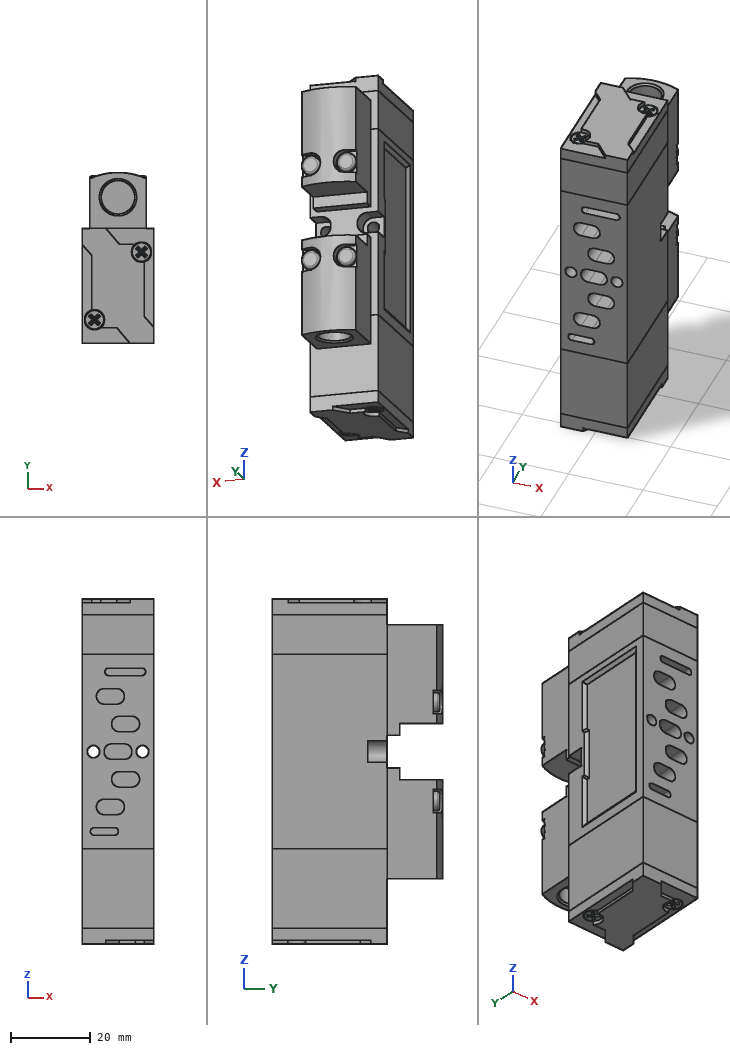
import cadquery as cq
import math

width = 18.0
box_depth = 29.0
overall_depth = 43.1
overall_height = 87.0

cap_height = 4.0
lower_block_height = 20.0
upper_block_height = 10.0
body_height = overall_height - 2 * cap_height - lower_block_height - upper_block_height
body_bottom = cap_height + lower_block_height
body_top = body_bottom + body_height
body_middle = body_bottom + body_height / 2

port_depth = 8.7
wide_port_height = 3.9
thin_port_height = 1.9
port_row_pitch = 7.0
wide_port_length = 7.05
wide_port_shift = 1.9
wide_ports = [
    (-wide_port_shift, 2 * port_row_pitch),
    (wide_port_shift, port_row_pitch),
    (0, 0),
    (wide_port_shift, -port_row_pitch),
    (-wide_port_shift, -2 * port_row_pitch),
]
thin_port_rise = 20.1
thin_port_reach = 7.0
upper_thin_port_length = 10.3
lower_thin_port_length = 7.05

mount_hole_diameter = 3.05
mount_hole_x = 6.2
mount_recess_width = 5.4
mount_recess_depth = 4.9

label_front = 2.7
label_back = 23.75
label_bottom = 26.9
label_top = 71.1
label_jog_depth = 0.9
label_jog_lower_z = 42.3
label_jog_upper_z = 55.25
label_jog_slope_end_z = 56.3
label_margin = 1.05
label_depth = 0.8

pocket_depth = 1.0
pocket_side_x = 6.6
pocket_front_y = 4.0
pocket_front_corner_x = -0.35
pocket_front_end_x = 3.05
pocket_back_corner_y = 22.2
pocket_back_end_y = 24.9
cap_screw_x = 5.9
cap_screw_offset_y = 8.5
cap_screw_radius = 2.5
cap_groove_width = 0.2
cap_groove_depth = 0.4
cross_length = 3.2
cross_width = 0.8
cross_depth = 0.8
cross_taper = 22

connector_width = 14.3
connector_shoulder_y = 41.5
connector_inner_offset = 7.05
connector_outer_offset = 32.0
tab_offset = 4.1
tab_depth = 3.2
cable_hole_diameter = 8.4
cable_hole_rim_diameter = 9.4
cable_hole_y = 36.8
cable_hole_depth = 5.0
head_radius = 2.4
head_offset = 12.4
head_rounding = 0.6
head_top_y = 42.2
head_slot_width = 5.9
head_slot_floor_y = 40.6


def block(bottom, height):
    """A plain block of the stack."""
    plane = cq.Workplane("XY", origin=(0, 0, bottom))
    return plane.box(width, box_depth, height, centered=(True, False, False))


def side_slot(floor_y, back_y, slot_width, centre_x, side_x, z):
    """A U-shaped recess cut from the back: a round end that runs straight out through one side."""
    depth = back_y - floor_y
    run = side_x - centre_x
    plane = cq.Workplane("XZ", origin=(0, back_y, 0))
    round_end = plane.center(centre_x, z).circle(slot_width / 2).extrude(depth)
    straight = plane.center(centre_x + run / 2, z).rect(abs(run), slot_width).extrude(depth)
    return round_end.union(straight)


def port(x, rise, length, height):
    plane = cq.Workplane("XZ").center(x, body_middle + rise)
    return plane.slot2D(length, height).extrude(-port_depth)


def label_outline(inset):
    """Points (y, z) of the label recess with every wall moved inwards by the inset."""
    front = label_front + inset
    back = label_back - inset
    step = back - label_jog_depth
    bottom = label_bottom + inset
    top = label_top - inset
    slope_angle = math.atan2(label_jog_depth, label_jog_slope_end_z - label_jog_upper_z)
    slope_shift = inset * math.tan(slope_angle / 2)
    return [
        (front, bottom),
        (back, bottom),
        (back, label_jog_lower_z - inset),
        (step, label_jog_lower_z - inset),
        (step, label_jog_upper_z + slope_shift),
        (back, label_jog_slope_end_z + slope_shift),
        (back, top),
        (front, top),
    ]


def label_recess():
    """Shallow recess with sloped walls; its back edge steps forward along the middle."""
    plane = cq.Workplane("YZ", origin=(-width / 2, 0, 0))
    rim = plane.polyline(label_outline(0)).close()
    floor = rim.workplane(offset=label_depth).polyline(label_outline(label_margin)).close()
    return floor.loft(ruled=True)


def make_body():
    body = block(body_bottom, body_height)
    for x, rise in wide_ports:
        body = body.cut(port(x, rise, wide_port_length, wide_port_height))
    upper_x = thin_port_reach - upper_thin_port_length / 2
    lower_x = lower_thin_port_length / 2 - thin_port_reach
    body = body.cut(port(upper_x, thin_port_rise, upper_thin_port_length, thin_port_height))
    body = body.cut(port(lower_x, -thin_port_rise, lower_thin_port_length, thin_port_height))
    for side in (-1, 1):
        hole = (
            cq.Workplane("XZ").center(side * mount_hole_x, body_middle)
            .circle(mount_hole_diameter / 2).extrude(-box_depth)
        )
        recess = side_slot(
            box_depth - mount_recess_depth, box_depth, mount_recess_width,
            side * mount_hole_x, side * width / 2, body_middle,
        )
        body = body.cut(hole).cut(recess)
    return body.cut(label_recess())


def corner_pocket():
    """Pocket along the front left corner of the top cap, with the screw head in it."""
    floor = overall_height - pocket_depth
    plane = cq.Workplane("XY", origin=(0, 0, floor))
    outline = [
        (-width / 2, 0),
        (pocket_front_end_x, 0),
        (pocket_front_corner_x, pocket_front_y),
        (-pocket_side_x, pocket_front_y),
        (-pocket_side_x, pocket_back_corner_y),
        (-width / 2, pocket_back_end_y),
    ]
    pocket = plane.polyline(outline).close().extrude(pocket_depth)
    screw = plane.center(-cap_screw_x, box_depth / 2 - cap_screw_offset_y)
    clearance = screw.circle(cap_screw_radius).extrude(pocket_depth)
    groove = (
        screw.circle(cap_screw_radius).circle(cap_screw_radius - cap_groove_width)
        .extrude(-cap_groove_depth)
    )
    cut = pocket.union(clearance).union(groove)
    for angle in (45, 135):
        slot = screw.transformed(rotate=(0, 0, angle)).rect(cross_length, cross_width)
        cut = cut.union(slot.extrude(-cross_depth, taper=cross_taper))
    return cut


def make_top_cap():
    cap = block(overall_height - cap_height, cap_height)
    pocket = corner_pocket()
    centre_y = box_depth / 2
    opposite = pocket.rotate((0, centre_y, 0), (0, centre_y, 1), 180)
    return cap.cut(pocket).cut(opposite)


def make_bottom_cap():
    """The top cap turned half a turn about the Y axis through the middle of the stack."""
    middle = overall_height / 2
    return make_top_cap().rotate((0, 0, middle), (0, 1, middle), 180)


def make_upper_connector():
    bottom = body_middle + connector_inner_offset
    top = body_middle + connector_outer_offset
    half_width = connector_width / 2
    housing = (
        cq.Workplane("XY", origin=(0, 0, bottom))
        .moveTo(-half_width, box_depth)
        .lineTo(half_width, box_depth)
        .lineTo(half_width, connector_shoulder_y)
        .threePointArc((0, overall_depth), (-half_width, connector_shoulder_y))
        .close()
        .extrude(top - bottom)
    )
    tab_height = connector_inner_offset - tab_offset
    tab = (
        cq.Workplane("XY")
        .box(connector_width, tab_depth, tab_height, centered=(True, False, False))
        .translate((0, box_depth, body_middle + tab_offset))
    )
    cable_hole = (
        cq.Workplane("XY", origin=(0, cable_hole_y, top))
        .circle(cable_hole_diameter / 2).extrude(-cable_hole_depth)
    )
    rim_chamfer = (cable_hole_rim_diameter - cable_hole_diameter) / 2
    rim = (
        cq.Workplane("XY", origin=(0, cable_hole_y, top))
        .circle(cable_hole_rim_diameter / 2)
        .workplane(offset=-rim_chamfer)
        .circle(cable_hole_diameter / 2)
        .loft(ruled=True)
    )
    connector = housing.union(tab).cut(cable_hole).cut(rim)
    head_z = body_middle + head_offset
    for side in (-1, 1):
        head_x = side * (half_width - head_radius)
        slot = side_slot(
            head_slot_floor_y, overall_depth, head_slot_width, head_x, side * half_width, head_z
        )
        head = (
            cq.Workplane("XZ", origin=(0, head_slot_floor_y, 0)).center(head_x, head_z)
            .circle(head_radius).extrude(head_slot_floor_y - head_top_y)
            .faces(">Y").edges().fillet(head_rounding)
        )
        connector = connector.cut(slot).union(head)
    return connector


body = make_body()
lower_block = block(cap_height, lower_block_height)
upper_block = block(body_top, upper_block_height)
top_cap = make_top_cap()
bottom_cap = make_bottom_cap()
upper_connector = make_upper_connector()
lower_connector = upper_connector.mirror("XY", (0, 0, body_middle))

result = cq.Compound.makeCompound([
    body.val(),
    lower_block.val(),
    upper_block.val(),
    top_cap.val(),
    bottom_cap.val(),
    upper_connector.val(),
    lower_connector.val(),
])